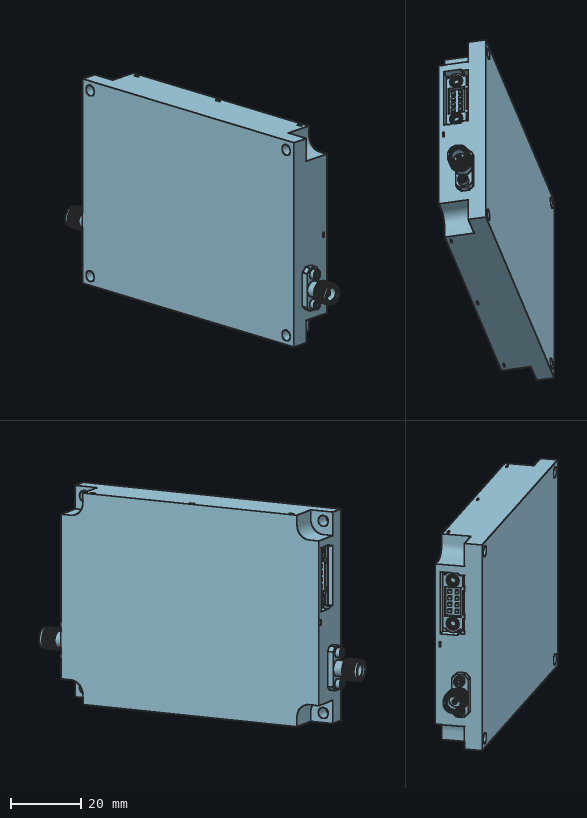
import cadquery as cq

overall_length = 101.6
body_length = 82.5
body_depth = 13.8
body_height = 61.5
base_thickness = 5.2
lid_thickness = 1.5
side_x = -body_length / 2
seam_y = body_depth - lid_thickness

hole_diameter = 3.1
hole_inset_x = 3.0
hole_inset_z = 2.8
clearance_radius = 4.0

pry_width = 1.4
pry_height = 0.3
pry_depth = 0.3
pry_spacing = 31.8

coax_y = 6.0
coax_z = -14.2
coax_reach = (overall_length - body_length) / 2
flange_width = 4.9
flange_height = 12.8
flange_thickness = 1.8
flange_chamfer = 1.3
barrel_radius = 2.3
barrel_length = 2.9
thread_radius = 3.1
thread_root_radius = 2.79
thread_turns = 6
thread_crest = 0.1
tip_length = 0.9
tip_radius = 2.9
bore_radius = 1.9
bore_depth = 3.0
mouth_radius = 2.3
mouth_depth = 0.7
contact_radius = 0.6
contact_hole_radius = 0.3
contact_recess = 1.5
flange_screw_spacing = 9.0
flange_screw_radius = 1.4
flange_screw_height = 1.8
flange_screw_chamfer = 0.3
flange_socket_size = 1.3
flange_socket_depth = 0.9

pocket_z = 12.4
pocket_height = 18.5
pocket_narrow_height = 17.5
pocket_narrow_width = 1.5
pocket_taper = 0.7
pocket_depth = 2.8
ledge_width = 0.4
ledge_height = 1.4
plate_gap = 0.3
plate_bottom_y = 6.2
plate_height = 16.1
plate_thickness = 1.1
plate_lobe_radius = 2.6
tab_spacing = 8.3
tab_width = 1.2
tab_length = 0.6
jack_spacing = 12.9
jack_radius = 1.8
jack_height = 0.5
jack_chamfer = 0.3
jack_socket_radius = 1.2
jack_pilot_radius = 0.9
jack_socket_depth = 0.6
jack_pilot_depth = 1.0
insert_width = 4.8
insert_height = 8.7
insert_depth = 1.1
pin_rows = 4
pin_columns = 2
pin_column_pitch = 2.1
pin_row_pitch = 1.9
pin_size = 0.9
pin_height = 0.7


def box(x_range, y_range, z_range):
    """Box spanning the three (low, high) ranges."""
    size = [high - low for low, high in (x_range, y_range, z_range)]
    corner = (x_range[0], y_range[0], z_range[0])
    return cq.Workplane("XY").box(*size, centered=False).translate(corner)


def outward_plane(x, y, z):
    """Plane facing -X at the point given: local x is -Y, local y is +Z."""
    return cq.Workplane(cq.Plane((x, y, z), xDir=(0, -1, 0), normal=(-1, 0, 0)))


def corner_clearance():
    """Cut behind the hole of the -X, -Z corner: open to both sides, rounded about the hole."""
    length = body_depth - base_thickness
    round_part = cq.Workplane("XZ").circle(clearance_radius).extrude(-length)
    square_part = box((-hole_inset_x, 0), (0, length), (-hole_inset_z, clearance_radius))
    other_part = box((-hole_inset_x, clearance_radius), (0, length), (-hole_inset_z, 0))
    center = (side_x + hole_inset_x, base_thickness, hole_inset_z - body_height / 2)
    return round_part.union(square_part).union(other_part).translate(center)


def make_housing():
    half_x = body_length / 2
    half_z = body_height / 2
    housing = box((-half_x, half_x), (0, body_depth), (-half_z, half_z))
    clearance = corner_clearance()
    upper = clearance.mirror("XY")
    for cut in (clearance, upper, clearance.mirror("YZ"), upper.mirror("YZ")):
        housing = housing.cut(cut)
    holes = (
        cq.Workplane("XZ")
        .rect(body_length - 2 * hole_inset_x, body_height - 2 * hole_inset_z, forConstruction=True)
        .vertices()
        .circle(hole_diameter / 2)
        .extrude(-body_depth)
    )
    return housing.cut(holes)


def make_pry_slots():
    """Shallow slots at the lid seam: three on each long side, one on each short side."""
    y_middle = seam_y + pry_height / 2
    slots = cq.Workplane("XY")
    for side in (-1, 1):
        for x in (-pry_spacing, 0, pry_spacing):
            slot = cq.Workplane("XY").box(pry_width, pry_height, 2 * pry_depth)
            slots = slots.add(slot.translate((x, y_middle, side * body_height / 2)))
        slot = cq.Workplane("XY").box(2 * pry_depth, pry_height, pry_width)
        slots = slots.add(slot.translate((side * body_length / 2, y_middle, 0)))
    return slots.combine()


def make_coax_barrel():
    """Threaded barrel turned about the connector axis, with its bore and centre contact."""
    thread_start = flange_thickness + barrel_length
    thread_end = coax_reach - tip_length
    pitch = (thread_end - thread_start) / thread_turns
    floor = coax_reach - bore_depth
    contact_end = coax_reach - contact_recess

    profile = [(0, 0), (barrel_radius, 0), (barrel_radius, thread_start)]
    for turn in range(thread_turns):
        root = thread_start + turn * pitch
        profile.append((thread_root_radius, root))
        profile.append((thread_radius, root + (pitch - thread_crest) / 2))
        profile.append((thread_radius, root + (pitch + thread_crest) / 2))
    profile += [
        (thread_root_radius, thread_end),
        (tip_radius, thread_end),
        (tip_radius, coax_reach),
        (mouth_radius, coax_reach),
        (mouth_radius, coax_reach - mouth_depth),
        (bore_radius, coax_reach - mouth_depth),
        (bore_radius, floor),
        (contact_radius, floor),
        (contact_radius, contact_end),
        (contact_hole_radius, contact_end),
        (contact_hole_radius, floor),
        (0, floor),
    ]
    plane = cq.Plane((side_x, coax_y, coax_z), xDir=(0, 0, 1), normal=(0, 1, 0))
    local = [(radius, -distance) for radius, distance in profile]
    return cq.Workplane(plane).polyline(local).close().revolve(360, (0, 0), (0, 1))


def make_coax_connector():
    """Flange, threaded barrel and two socket screws on the -X side."""
    connector = (
        outward_plane(side_x, coax_y, coax_z)
        .rect(flange_width, flange_height)
        .extrude(flange_thickness)
        .edges("|X")
        .chamfer(flange_chamfer)
    )
    for side in (-1, 1):
        z = coax_z + side * flange_screw_spacing / 2
        screw = (
            outward_plane(side_x - flange_thickness, coax_y, z)
            .circle(flange_screw_radius)
            .extrude(flange_screw_height)
            .faces("<X")
            .edges()
            .chamfer(flange_screw_chamfer)
        )
        socket = (
            outward_plane(side_x - flange_thickness - flange_screw_height, coax_y, z)
            .polygon(6, flange_socket_size)
            .extrude(-flange_socket_depth)
        )
        connector = connector.union(screw.cut(socket))
    return connector.union(make_coax_barrel())


def make_pocket():
    """Pocket between base and lid seam, narrower next to the base, where a ledge runs along its floor."""
    wide = pocket_height / 2
    narrow = pocket_narrow_height / 2
    step_y = base_thickness + pocket_narrow_width
    upper_half = [
        (base_thickness, narrow),
        (step_y, narrow),
        (step_y + pocket_taper, wide),
        (seam_y, wide),
    ]
    lower_half = [(y, -z) for y, z in reversed(upper_half)]
    pocket = (
        cq.Workplane("YZ", origin=(side_x, 0, pocket_z))
        .polyline(upper_half + lower_half)
        .close()
        .extrude(pocket_depth)
    )
    floor_x = side_x + pocket_depth
    ledge = box(
        (floor_x - ledge_height, floor_x),
        (base_thickness, base_thickness + ledge_width),
        (pocket_z - narrow, pocket_z + narrow),
    )
    return pocket.cut(ledge)


def make_pin_connector():
    """Plate with two jack screws and a recessed block of pins, standing on the pocket floor."""
    floor_x = side_x + pocket_depth
    face_x = floor_x - plate_thickness
    plate_width = seam_y - plate_gap - plate_bottom_y
    center_y = plate_bottom_y + plate_width / 2
    jack_places = [(0, side * jack_spacing / 2) for side in (-1, 1)]

    floor = outward_plane(floor_x, center_y, pocket_z)
    face = outward_plane(face_x, center_y, pocket_z)
    jack_face = outward_plane(face_x - jack_height, center_y, pocket_z).pushPoints(jack_places)

    plate = floor.rect(plate_width, plate_height).extrude(plate_thickness)
    lobes = floor.pushPoints(jack_places).circle(plate_lobe_radius).extrude(plate_thickness)
    tabs = (
        outward_plane(floor_x, plate_bottom_y, pocket_z)
        .rarray(1, tab_spacing, 1, 2)
        .rect(2 * tab_length, tab_width)
        .extrude(plate_thickness)
    )
    jacks = (
        face.pushPoints(jack_places)
        .circle(jack_radius)
        .extrude(jack_height)
        .faces("<X")
        .edges()
        .chamfer(jack_chamfer)
    )
    sockets = jack_face.circle(jack_socket_radius).extrude(-jack_socket_depth)
    pilots = jack_face.circle(jack_pilot_radius).extrude(-jack_pilot_depth)
    recess = face.rect(insert_width, insert_height).extrude(-insert_depth)
    pins = (
        outward_plane(face_x + insert_depth, center_y, pocket_z)
        .rarray(pin_column_pitch, pin_row_pitch, pin_columns, pin_rows)
        .rect(pin_size, pin_size)
        .extrude(pin_height)
    )
    body = plate.union(lobes).union(tabs).union(jacks)
    return body.cut(sockets).cut(pilots).cut(recess).union(pins)


coax_connector = make_coax_connector()
result = (
    make_housing()
    .cut(make_pry_slots())
    .cut(make_pocket())
    .union(make_pin_connector())
    .union(coax_connector)
    .union(coax_connector.mirror("YZ"))
)